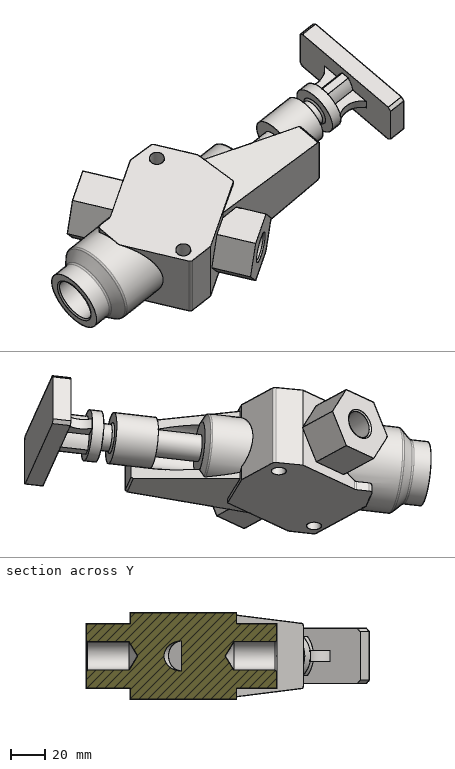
import cadquery as cq
import math

SPINDLE_TILT = 30.0
EXTRA = 2.3

BLOCK_THICKNESS = 50.7
BLOCK_OUTLINE = [
    (-20.8, 36.3), (6.9, 36.3), (32.2, 24.0), (32.2, -24.5), (24.2, -38.2),
    (-19.7, -38.2), (-35.2, -29.3), (-30.0, -20.3), (-30.0, 21.7),
]
BLOCK_ROUNDED_CORNERS = [BLOCK_OUTLINE[0], BLOCK_OUTLINE[4], BLOCK_OUTLINE[6], BLOCK_OUTLINE[7]]
BLOCK_FILLET = 2.3
MOUNT_HOLE_DIAMETER = 8.7
MOUNT_HOLE_CENTRES = [(-15.3, 27.2), (17.5, -31.3)]

PORT_SPAN = 111.5
PORT_ACROSS_FLATS = 38.0
PORT_BORE_RADIUS = 8.2
PORT_BORE_DEPTH = 25.1
PORT_MOUTH_CHAMFER = 1.0
DRILL_POINT_ANGLE = 118.0

BARREL_RADIUS = BLOCK_THICKNESS / 2
BARREL_END = -59.5
SOCKET_RADIUS = 19.0
SOCKET_SHOULDER = -66.3
SOCKET_END = -77.3
SHOULDER_FILLET = 1.8
SOCKET_BORE_RADIUS = 13.3
SOCKET_BORE_DEPTH = 25.1
SOCKET_MOUTH_CHAMFER = 1.0
PASSAGE_RADIUS = 8.7

BONNET_RADIUS = 20.5
BONNET_END = 57.5
BONNET_CONE_RADIUS = 15.5
BONNET_CONE_HEIGHT = 2.7
BONNET_FILLET = 1.1

BRACKET_END = 95.8
BRACKET_OUTER = 27.2
BRACKET_TIP_INNER = 11.7
BRACKET_INNER_SLOPE = 0.34
BRACKET_FRONT_ROOT = 27.5
BRACKET_BACK_ROOT = 11.5
BRACKET_TIP_HALF_THICKNESS = 19.0
BRACKET_DRAFT = 3.6
BRACKET_TIP_CHAMFER = 1.1

STEM_RADIUS = 8.0
HUB_RADIUS = 15.0
HUB_START = 85.5
HUB_END = 110.5
NECK_CHAMFER = 1.1
COLLAR_START = 118.2
COLLAR_END = 125.0

BAR_START = 143.0
BAR_END = 153.8
BAR_LENGTH = 76.4
BAR_WIDTH = 32.5
BAR_CHAMFER = 2.0
WEB_THICKNESS = 6.5
WEB_HALF_WAIST = 12.0
WEB_ARC_RADIUS = 12.8
WEB_ARC_HEIGHT = 132.4
BOSS_HALF_WIDTH = 6.6
BOSS_HALF_DEPTH = 11.5
BOSS_FLAT_WIDTH = 5.0


def tilt(shape):
    """Turn a shape built along +Y onto the spindle axis."""
    return shape.rotate((0, 0, 0), (0, 0, 1), -SPINDLE_TILT)


def turned(profile):
    """Revolve a closed (radius, height) profile about the Y axis."""
    return cq.Workplane("XY").polyline(profile).close().revolve(360, (0, 0), (0, 1))


def cylinder(radius, start, end):
    """Round bar about the Y axis."""
    return turned([(0, start), (radius, start), (radius, end), (0, end)])


def round_rims(solid, start, end, radius):
    """Fillet the circular edges about the Y axis whose heights run from start to end."""
    reach = BARREL_RADIUS + EXTRA
    margin = EXTRA / 2
    rims = cq.selectors.BoxSelector((-reach, start - margin, -reach), (reach, end + margin, reach))
    return solid.edges("%CIRCLE").edges(rims).fillet(radius)


def drill_point(radius):
    """Height of the cone that a drill leaves between a radius and the axis."""
    return radius / math.tan(math.radians(DRILL_POINT_ANGLE / 2))



def block():
    solid = cq.Workplane("XY").polyline(BLOCK_OUTLINE).close().extrude(BLOCK_THICKNESS / 2, both=True)
    for x, y in BLOCK_ROUNDED_CORNERS:
        solid = solid.edges(cq.selectors.NearestToPointSelector((x, y, 0))).fillet(BLOCK_FILLET)
    return solid


def mount_holes():
    return (
        cq.Workplane("XY").pushPoints(MOUNT_HOLE_CENTRES).circle(MOUNT_HOLE_DIAMETER / 2)
        .extrude(BLOCK_THICKNESS / 2 + EXTRA, both=True)
    )


def port_hexagon():
    """Hexagonal bar along X, with two of its flats facing up and down."""
    across_corners = PORT_ACROSS_FLATS / math.cos(math.pi / 6)
    return cq.Workplane("YZ").polygon(6, across_corners).extrude(PORT_SPAN / 2, both=True)


def port_bore(side):
    """Blind drilled hole with a chamfered mouth, in the port on the given side of X."""
    mouth_radius = PORT_BORE_RADIUS + PORT_MOUTH_CHAMFER
    bore = turned([
        (0, 0), (mouth_radius, 0), (PORT_BORE_RADIUS, PORT_MOUTH_CHAMFER),
        (PORT_BORE_RADIUS, PORT_BORE_DEPTH), (0, PORT_BORE_DEPTH + drill_point(PORT_BORE_RADIUS)),
    ])
    return bore.rotate((0, 0, 0), (0, 0, 1), side * 90).translate((side * PORT_SPAN / 2, 0, 0))


def barrel():
    """Round barrel that narrows through a cone to the socket."""
    solid = turned([
        (0, SOCKET_END), (SOCKET_RADIUS, SOCKET_END), (SOCKET_RADIUS, SOCKET_SHOULDER),
        (BARREL_RADIUS, BARREL_END), (BARREL_RADIUS, 0), (0, 0),
    ])
    return round_rims(solid, SOCKET_SHOULDER, BARREL_END, SHOULDER_FILLET)


def socket_bore():
    """Chamfered socket, a drill cone and a narrower passage that ends at the port axis."""
    bore_end = SOCKET_END + SOCKET_BORE_DEPTH
    cone_end = bore_end + drill_point(SOCKET_BORE_RADIUS) - drill_point(PASSAGE_RADIUS)
    return turned([
        (0, SOCKET_END), (SOCKET_BORE_RADIUS + SOCKET_MOUTH_CHAMFER, SOCKET_END),
        (SOCKET_BORE_RADIUS, SOCKET_END + SOCKET_MOUTH_CHAMFER), (SOCKET_BORE_RADIUS, bore_end),
        (PASSAGE_RADIUS, cone_end), (PASSAGE_RADIUS, 0), (0, 0),
    ])


def bonnet():
    cone_start = BONNET_END - BONNET_CONE_HEIGHT
    solid = turned([
        (0, 0), (BONNET_RADIUS, 0), (BONNET_RADIUS, cone_start),
        (BONNET_CONE_RADIUS, BONNET_END), (0, BONNET_END),
    ])
    return round_rims(solid, cone_start, cone_start, BONNET_FILLET)


def bracket():
    """Arm with a slanted front face, drafted top and underside and a round seat for the hub."""
    front_root_inner = BRACKET_TIP_INNER - (BRACKET_END - BRACKET_FRONT_ROOT) * BRACKET_INNER_SLOPE
    root_half_thickness = BRACKET_TIP_HALF_THICKNESS + (
        BRACKET_END * math.tan(math.radians(BRACKET_DRAFT))
    )
    plan = (
        cq.Workplane("XY")
        .polyline([
            (BRACKET_OUTER, BRACKET_BACK_ROOT), (BRACKET_OUTER, BRACKET_END),
            (BRACKET_TIP_INNER, BRACKET_END), (front_root_inner, BRACKET_FRONT_ROOT),
        ])
        .close().extrude(root_half_thickness, both=True)
    )
    taper = (
        cq.Workplane("YZ")
        .polyline([
            (0, -root_half_thickness), (BRACKET_END, -BRACKET_TIP_HALF_THICKNESS),
            (BRACKET_END, BRACKET_TIP_HALF_THICKNESS), (0, root_half_thickness),
        ])
        .close().extrude(BRACKET_OUTER + EXTRA, both=True)
    )
    seat = cylinder(HUB_RADIUS, BONNET_END, BRACKET_END + EXTRA)
    arm = plan.intersect(taper).faces(">Y").edges("|X").chamfer(BRACKET_TIP_CHAMFER)
    return arm.cut(seat)


def make_housing():
    solid = block().union(port_hexagon())
    for part in (barrel(), bonnet(), bracket()):
        solid = solid.union(tilt(part))
    solid = solid.cut(mount_holes()).cut(tilt(socket_bore()))
    for side in (-1, 1):
        solid = solid.cut(port_bore(side))
    return solid



def stem():
    """Stem with its hub and collar; the neck between them flares at both ends."""
    flare_radius = STEM_RADIUS + NECK_CHAMFER
    return turned([
        (0, BONNET_END), (STEM_RADIUS, BONNET_END), (STEM_RADIUS, HUB_START),
        (HUB_RADIUS, HUB_START), (HUB_RADIUS, HUB_END), (flare_radius, HUB_END),
        (STEM_RADIUS, HUB_END + NECK_CHAMFER), (STEM_RADIUS, COLLAR_START - NECK_CHAMFER),
        (flare_radius, COLLAR_START), (HUB_RADIUS, COLLAR_START), (HUB_RADIUS, COLLAR_END),
        (0, COLLAR_END),
    ])


def handle_web():
    """Flat web with a round cut on each side, between the collar and the bar."""
    height = BAR_START - COLLAR_END
    arc_centre = WEB_HALF_WAIST + WEB_ARC_RADIUS
    plate = (
        cq.Workplane("XY").center(0, COLLAR_END + height / 2)
        .rect(2 * arc_centre, height).extrude(WEB_THICKNESS / 2, both=True)
    )
    round_cuts = (
        cq.Workplane("XY").pushPoints([(-arc_centre, WEB_ARC_HEIGHT), (arc_centre, WEB_ARC_HEIGHT)])
        .circle(WEB_ARC_RADIUS).extrude(WEB_THICKNESS, both=True)
    )
    return plate.cut(round_cuts)


def handle_boss():
    """Boss across the web: two bulged sides between narrow flats."""
    flat = BOSS_FLAT_WIDTH / 2
    return (
        cq.Workplane("XZ", origin=(0, COLLAR_END, 0))
        .moveTo(flat, -BOSS_HALF_DEPTH)
        .threePointArc((BOSS_HALF_WIDTH, 0), (flat, BOSS_HALF_DEPTH))
        .lineTo(-flat, BOSS_HALF_DEPTH)
        .threePointArc((-BOSS_HALF_WIDTH, 0), (-flat, -BOSS_HALF_DEPTH))
        .close().extrude(COLLAR_END - BAR_START)
    )


def handle_bar():
    height = BAR_END - BAR_START
    return (
        cq.Workplane("XY").box(BAR_LENGTH, height, BAR_WIDTH)
        .edges("|Y").chamfer(BAR_CHAMFER)
        .translate((0, BAR_START + height / 2, 0))
    )


def make_spindle():
    return tilt(stem().union(handle_web()).union(handle_boss()).union(handle_bar()))


housing = make_housing()
spindle = make_spindle()
result = cq.Compound.makeCompound([housing.val(), spindle.val()])